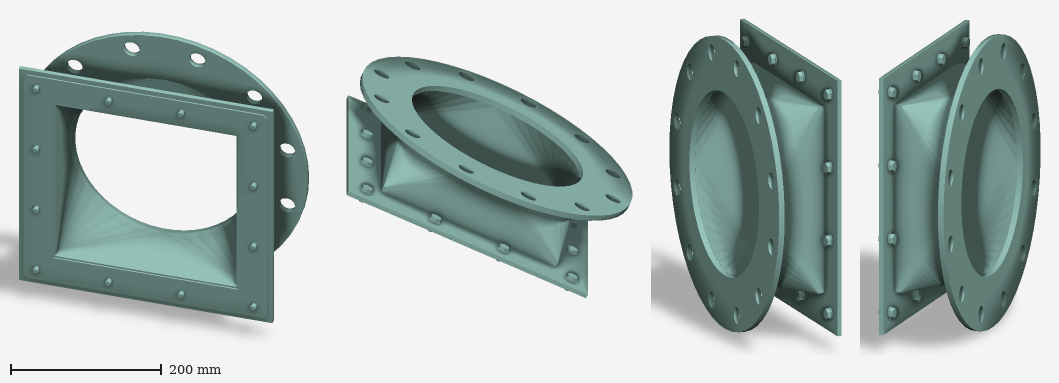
import cadquery as cq
import math


ring_diameter = 395.0
ring_thickness = 8.0
ring_hole_diameter = 22.0
ring_hole_count = 12
ring_hole_circle_diameter = 350.0

bore = 250.0
wall = 2.55
segments_per_quarter = 9
collar_length = 9.5
corner_notch = 2.0

flange_side = 350.0
flange_thickness = 6.0
flange_back_depth = 92.0
gasket_side = 335.8
gasket_thickness = 2.0
gasket_corner_radius = 8.0

bolt_pitch = 100.0
bolts_per_side = 4
bolt_diameter = 8.0
bolt_tip_chamfer = 0.6
bolt_hole_diameter = 10.0
bolt_end_depth = 106.5
head_across_flats = 13.0
head_height = 5.5
washer_diameter = 16.0
washer_thickness = 1.5

outer_size = bore + 2 * wall
bend_depth = flange_back_depth - collar_length
flange_front_depth = flange_back_depth + flange_thickness


def plane_at(depth):
    """XZ workplane at a depth; extruding from it goes toward -Y."""
    return cq.Workplane("XZ", origin=(0, -depth, 0))


def square_plate(side, depth, thickness):
    return plane_at(depth).rect(side, side).extrude(thickness)


def polygon_face(points):
    return cq.Face.makeFromWires(cq.Wire.makePolygon(points, close=True))


def transition(size, corner_cut):
    """Faceted solid from a circle at the ring to a square, corners cut, at the bend."""
    half = size / 2
    middle = segments_per_quarter // 2
    round_points = []
    for index in range(4 * segments_per_quarter):
        angle = math.radians(index * 90 / segments_per_quarter)
        round_points.append((half * math.cos(angle), -ring_thickness, half * math.sin(angle)))

    faces = []
    square_points = []
    for quarter, (x_sign, z_sign) in enumerate([(1, 1), (-1, 1), (-1, -1), (1, -1)]):
        beside_x = (x_sign * half, -bend_depth, z_sign * (half - corner_cut))
        beside_z = (x_sign * (half - corner_cut), -bend_depth, z_sign * half)
        first, last = (beside_x, beside_z) if x_sign == z_sign else (beside_z, beside_x)
        for step in range(segments_per_quarter):
            index = quarter * segments_per_quarter + step
            edge = [round_points[index], round_points[(index + 1) % len(round_points)]]
            if step < middle:
                faces.append(polygon_face(edge + [first]))
            elif step > middle:
                faces.append(polygon_face(edge + [last]))
            elif corner_cut > 0:
                faces.append(polygon_face(edge + [last, first]))
            else:
                faces.append(polygon_face(edge + [first]))
        square_points += [first, last] if corner_cut > 0 else [first]

    corners_per_quarter = len(square_points) // 4
    for quarter in range(4):
        after = quarter * corners_per_quarter
        apex = round_points[quarter * segments_per_quarter]
        faces.append(polygon_face([apex, square_points[after], square_points[after - 1]]))

    faces += [polygon_face(round_points), polygon_face(square_points)]
    return cq.Workplane(cq.Solid.makeSolid(cq.Shell.makeShell(faces)))


def round_ring():
    ring = plane_at(0).circle(ring_diameter / 2).circle(bore / 2).extrude(ring_thickness)
    half_spacing = 180 / ring_hole_count
    holes = (
        plane_at(0)
        .polarArray(ring_hole_circle_diameter / 2, half_spacing, 360, ring_hole_count)
        .circle(ring_hole_diameter / 2)
        .extrude(ring_thickness)
    )
    return ring.cut(holes)


def collar():
    sleeve = square_plate(outer_size, bend_depth, collar_length)
    corner_centre_spacing = outer_size - corner_notch
    notches = (
        plane_at(bend_depth)
        .rect(corner_centre_spacing, corner_centre_spacing, forConstruction=True)
        .vertices()
        .rect(corner_notch, corner_notch)
        .extrude(collar_length)
    )
    return sleeve.cut(notches).cut(square_plate(bore, bend_depth, collar_length))


def sheet_body():
    hollow = transition(outer_size, corner_notch).cut(transition(bore, 0))
    return hollow.union(collar())


def bolt_positions():
    """Evenly pitched places along the four sides of a square."""
    reach = (bolts_per_side - 1) / 2
    places = [(i - reach) * bolt_pitch for i in range(bolts_per_side)]
    ends = (places[0], places[-1])
    return [(x, z) for x in places for z in places if x in ends or z in ends]


def flange_with_gasket():
    flange = square_plate(flange_side, flange_back_depth, flange_thickness)
    flange = flange.cut(square_plate(bore, flange_back_depth, flange_thickness))
    gasket = square_plate(gasket_side, flange_front_depth, gasket_thickness)
    gasket = gasket.edges("|Y").fillet(gasket_corner_radius)
    gasket = gasket.cut(square_plate(outer_size, flange_front_depth, gasket_thickness))
    holes = (
        plane_at(flange_back_depth)
        .pushPoints(bolt_positions())
        .circle(bolt_hole_diameter / 2)
        .extrude(flange_thickness + gasket_thickness)
    )
    return flange.union(gasket).cut(holes)


def bolt():
    """Hexagon bolt with washer; the head bears on the rear face of the flange."""
    washer_depth = flange_back_depth - washer_thickness
    head_depth = washer_depth - head_height
    head_across_corners = head_across_flats / math.cos(math.pi / 6)
    head = (
        plane_at(head_depth)
        .transformed(rotate=(0, 0, 90))
        .polygon(6, head_across_corners)
        .extrude(head_height)
    )
    washer = plane_at(washer_depth).circle(washer_diameter / 2).extrude(washer_thickness)
    shank = plane_at(washer_depth).circle(bolt_diameter / 2).extrude(bolt_end_depth - washer_depth)
    shank = shank.faces("<Y").chamfer(bolt_tip_chamfer)
    return head.union(washer).union(shank)


result = round_ring().union(sheet_body()).union(flange_with_gasket())
single_bolt = bolt()
for x, z in bolt_positions():
    result = result.union(single_bolt.translate((x, 0, z)))